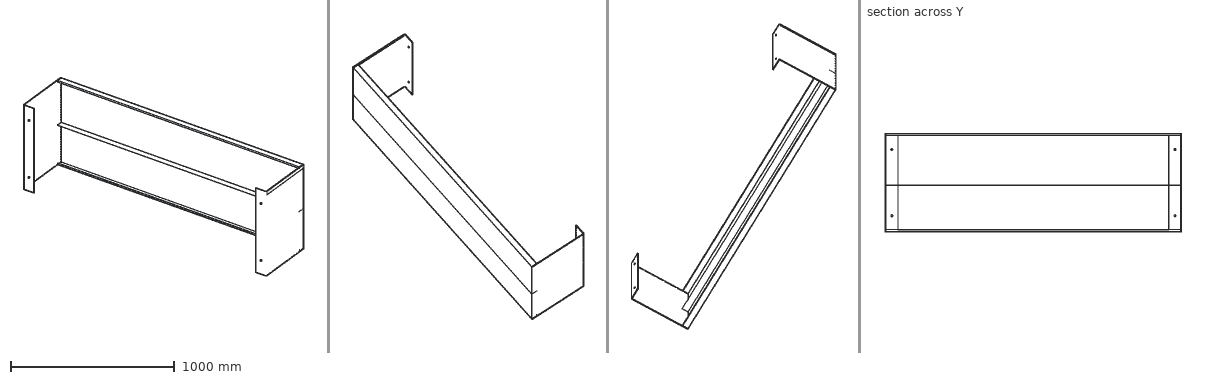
import cadquery as cq
import math

LENGTH = 1812.0
DEPTH = 400.0
HEIGHT = 600.0
THICK_SHEET = 6.0
THIN_SHEET = 2.0

BEND_RADIUS = 7.0
FLANGE_WIDTH = 80.0
HOLE_DIAMETER = 10.0
HOLE_FROM_EDGE = 42.0
HOLE_FROM_END = 98.0

HEM_HEIGHT = 24.0
HEM_THICKNESS = 1.0

LIP_DEPTH = 40.0
RETURN_HEIGHT = 13.0

SHELF_TOP = 285.0
SHELF_DEPTH = 43.0

RIGHT_OUTER = LENGTH - HEM_THICKNESS
LEFT_INNER = THICK_SHEET
RIGHT_INNER = RIGHT_OUTER - THICK_SHEET
PANELS_MIDDLE = RIGHT_OUTER / 2
BACK_INNER = DEPTH - THIN_SHEET
LIP_FRONT = DEPTH - LIP_DEPTH
SHELF_FRONT = DEPTH - SHELF_DEPTH
SHELF_BOTTOM = SHELF_TOP - THIN_SHEET


def block(x_range, y_range, z_range):
    """Box between two limits along each axis."""
    x0, x1 = x_range
    y0, y1 = y_range
    z0, z1 = z_range
    return cq.Workplane("XY").box(x1 - x0, y1 - y0, z1 - z0, centered=False).translate((x0, y0, z0))


def make_left_panel():
    """Bent side sheet with two fixing holes in its front flange."""
    inner_radius = BEND_RADIUS - THICK_SHEET
    diagonal = math.sqrt(0.5)
    outer_mid = BEND_RADIUS * (1 - diagonal)
    inner_mid = BEND_RADIUS - inner_radius * diagonal
    panel = (
        cq.Workplane("XY")
        .moveTo(0, DEPTH)
        .lineTo(0, BEND_RADIUS)
        .threePointArc((outer_mid, outer_mid), (BEND_RADIUS, 0))
        .lineTo(FLANGE_WIDTH, 0)
        .lineTo(FLANGE_WIDTH, THICK_SHEET)
        .lineTo(BEND_RADIUS, THICK_SHEET)
        .threePointArc((inner_mid, inner_mid), (THICK_SHEET, BEND_RADIUS))
        .lineTo(THICK_SHEET, DEPTH)
        .close()
        .extrude(HEIGHT)
    )
    holes = (
        cq.Workplane("XZ")
        .pushPoints([(HOLE_FROM_EDGE, HOLE_FROM_END), (HOLE_FROM_EDGE, HEIGHT - HOLE_FROM_END)])
        .circle(HOLE_DIAMETER / 2)
        .extrude(-THICK_SHEET)
    )
    return panel.cut(holes)


def make_right_panel(left_panel):
    """Mirror image of the bent sheet, with a folded strip along the outside of its top edge."""
    panel = left_panel.mirror("YZ", (PANELS_MIDDLE, 0, 0))
    hem = block((RIGHT_OUTER, LENGTH), (BEND_RADIUS, DEPTH), (HEIGHT - HEM_HEIGHT, HEIGHT))
    return panel.union(hem)


def make_back_panel():
    """Back sheet with lips and returns along its top and bottom edges."""
    section = (
        cq.Workplane("YZ", origin=(LEFT_INNER, 0, 0))
        .polyline([
            (DEPTH, 0),
            (LIP_FRONT, 0),
            (LIP_FRONT, RETURN_HEIGHT),
            (LIP_FRONT + THIN_SHEET, RETURN_HEIGHT),
            (LIP_FRONT + THIN_SHEET, THIN_SHEET),
            (BACK_INNER, THIN_SHEET),
            (BACK_INNER, HEIGHT - THIN_SHEET),
            (LIP_FRONT + THIN_SHEET, HEIGHT - THIN_SHEET),
            (LIP_FRONT + THIN_SHEET, HEIGHT - RETURN_HEIGHT),
            (LIP_FRONT, HEIGHT - RETURN_HEIGHT),
            (LIP_FRONT, HEIGHT),
            (DEPTH, HEIGHT),
        ])
        .close()
    )
    return section.extrude(RIGHT_INNER - LEFT_INNER)


def make_shelf():
    """Flat strip standing against the back panel."""
    return block((LEFT_INNER, RIGHT_INNER), (SHELF_FRONT, BACK_INNER), (SHELF_BOTTOM, SHELF_TOP))


left_panel = make_left_panel()
right_panel = make_right_panel(left_panel)
back_panel = make_back_panel()
shelf = make_shelf()

result = cq.Compound.makeCompound(
    [left_panel.val(), right_panel.val(), back_panel.val(), shelf.val()]
)